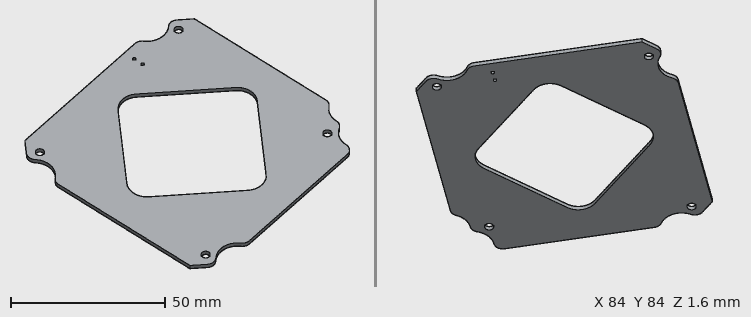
import cadquery as cq
import math

side = 84
thickness = 1.6
half = side / 2
corner_chamfer = 7.8

notch_radius = 7.0
notch_along = 29.9
notch_out = 44.1
step_notch = (39.0, 38.1)
blend_radius = 3.0

window_half_diagonal = 32.0
window_corner_radius = 6.5

mount_diameter = 2.9
mount_offset = 35.0
shifted_mount_offset = 31.1
pin_diameter = 1.1
pin_points = [(-37.8, 16), (-34.3, 16)]

edge_notches = [
    (-notch_out, notch_along),
    (-notch_along, -notch_out),
    (notch_out, -notch_along),
    (notch_along, notch_out),
]
mount_points = [
    (-mount_offset, mount_offset),
    (-mount_offset, -mount_offset),
    (mount_offset, -mount_offset),
    (shifted_mount_offset, shifted_mount_offset),
]


def make_blank():
    """Square plate with three chamfered corners; the +X+Y corner stays square."""
    return (
        cq.Workplane("XY")
        .rect(side, side)
        .extrude(thickness)
        .edges("|Z")
        .edges("<X or <Y")
        .chamfer(corner_chamfer)
    )


def cut_notches(plate):
    """Cut the five round notches and the corner scrap left between two of them."""
    scrap = (
        cq.Workplane("XY")
        .moveTo(notch_along, step_notch[1])
        .lineTo(half, step_notch[1])
        .lineTo(half, half)
        .lineTo(notch_along, half)
        .close()
        .extrude(thickness)
    )
    plate = plate.cut(scrap)
    for x, y in edge_notches + [step_notch]:
        notch = cq.Workplane("XY").center(x, y).circle(notch_radius).extrude(thickness)
        plate = plate.cut(notch)
    return plate


def blend_notches(plate):
    """Round every upright edge where a notch meets its neighbour in the outline."""
    tolerance = 0.01

    def is_on_notch(edge):
        point = edge.Center()
        return any(
            abs(math.hypot(point.x - x, point.y - y) - notch_radius) < tolerance
            for x, y in edge_notches + [step_notch]
        )

    corners = plate.edges("|Z").filter(is_on_notch)
    return corners.fillet(blend_radius)


def make_window():
    window_side = window_half_diagonal * math.sqrt(2)
    return (
        cq.Workplane("XY")
        .rect(window_side, window_side)
        .extrude(thickness)
        .edges("|Z")
        .fillet(window_corner_radius)
        .rotate((0, 0, 0), (0, 0, 1), 45)
    )


def make_holes(points, diameter):
    return cq.Workplane("XY").pushPoints(points).circle(diameter / 2).extrude(thickness)


plate = blend_notches(cut_notches(make_blank()))
plate = plate.cut(make_window())
plate = plate.cut(make_holes(mount_points, mount_diameter))
result = plate.cut(make_holes(pin_points, pin_diameter))